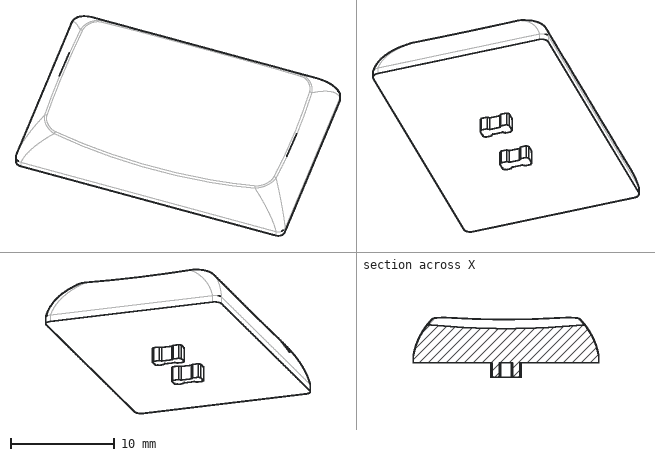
import cadquery as cq
import math

LENGTH = 27.5
WIDTH = 18.0
FLANGE_HEIGHT = 0.7
BASE_CORNER_RADIUS = 0.7

WALL_ARC_RADIUS = 6.75
WALL_BASE_ANGLE = math.radians(10.0)
WALL_HEIGHT = 3.95
WALL_SECTIONS = 7
CORNER_GROWTH = 0.52

DISH_RADIUS = 75.62
DISH_BOTTOM = 3.3
RIM_FILLET = 0.28

LEG_SPACING = 5.7
LEG_THICKNESS = 1.25
LEG_WIDTH = 2.97
LEG_LENGTH = 1.4
LEG_BEVEL = 0.2
GROOVE_WIDTH = 1.43
GROOVE_DEPTH = 0.2


def wall_inset(height):
    """Inward offset of the wall at a height above the flange."""
    start = WALL_ARC_RADIUS * math.sin(WALL_BASE_ANGLE)
    center_offset = WALL_ARC_RADIUS * math.cos(WALL_BASE_ANGLE)
    return center_offset - math.sqrt(WALL_ARC_RADIUS**2 - (start + height) ** 2)


def body_section(height):
    """Rounded rectangle outlining the body at a height above the flange."""
    inset = wall_inset(height)
    radius = BASE_CORNER_RADIUS + CORNER_GROWTH * inset
    return (
        cq.Sketch()
        .rect(LENGTH - 2 * inset, WIDTH - 2 * inset)
        .vertices()
        .fillet(radius)
        .moved(cq.Location(cq.Vector(0, 0, FLANGE_HEIGHT + height)))
    )


def make_flange():
    plate = cq.Workplane("XY").box(LENGTH, WIDTH, FLANGE_HEIGHT, (True, True, False))
    return plate.edges("|Z").fillet(BASE_CORNER_RADIUS)


def make_body():
    """Curved-wall body with a bowl cut into its top and a rounded rim."""
    heights = [WALL_HEIGHT * i / (WALL_SECTIONS - 1) for i in range(WALL_SECTIONS)]
    sections = [body_section(height) for height in heights]
    body = cq.Workplane("XY").placeSketch(*sections).loft()
    bowl = cq.Workplane("XY").sphere(DISH_RADIUS, direct=(1, 0, 0))
    dished = body.cut(bowl.translate((0, 0, DISH_BOTTOM + DISH_RADIUS)))
    return dished.faces(">Z").edges().fillet(RIM_FILLET)


def make_leg(x):
    """Bevelled leg with a shallow tapered groove down each broad side."""
    half_thickness = LEG_THICKNESS / 2
    half_width = LEG_WIDTH / 2
    half_groove = GROOVE_WIDTH / 2
    quarter_outline = [
        (half_thickness - GROOVE_DEPTH, 0),
        (half_thickness - GROOVE_DEPTH, half_groove - GROOVE_DEPTH),
        (half_thickness, half_groove),
        (half_thickness, half_width - LEG_BEVEL),
        (half_thickness - LEG_BEVEL, half_width),
        (0, half_width),
    ]
    return (
        cq.Workplane("XY")
        .polyline(quarter_outline)
        .mirrorY()
        .mirrorX()
        .extrude(-LEG_LENGTH)
        .translate((x, 0, 0))
    )


result = make_flange().union(make_body())
for side in (-1, 1):
    result = result.union(make_leg(side * LEG_SPACING / 2))